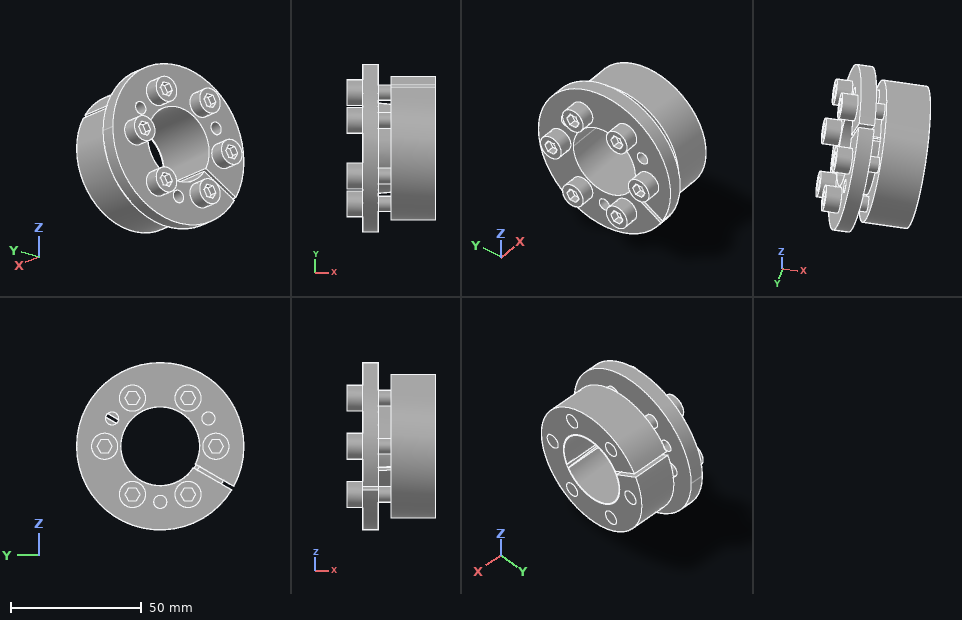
import cadquery as cq
import math


flange_diameter = 64.0
flange_thickness = 6.0
bore_diameter = 30.0
clamp_diameter = 55.0
clamp_length = 17.1
ring_gap = 4.85
cone_start_radius = 17.3
cone_half_angle = 5.0
slit_width = 1.55
flange_slit_angle = 210
clamp_slit_angle = flange_slit_angle - 180

screw_count = 6
screw_angles = [i * 360 / screw_count for i in range(screw_count)]
bolt_circle_radius = 21.25
head_diameter = 10.0
head_height = 6.0
shank_diameter = 6.0
socket_across_flats = 5.0
socket_depth = 3.0
jack_hole_diameter = 5.0
jack_hole_angles = (30, 150, 270)

flange_front = head_height
flange_back = flange_front + flange_thickness
clamp_front = flange_back + ring_gap
clamp_back = clamp_front + clamp_length


def on_bolt_circle(angle):
    """Y and Z of a point on the bolt circle."""
    turn = math.radians(angle)
    return bolt_circle_radius * math.cos(turn), bolt_circle_radius * math.sin(turn)


def cone_radius(x):
    """Radius of the mating cone at position x."""
    return cone_start_radius - (x - flange_back) * math.tan(math.radians(cone_half_angle))


def revolve_about_x(profile):
    """Revolve a closed outline of (x, radius) points about the X axis."""
    return cq.Workplane("XY").polyline(profile).close().revolve(360, (0, 0, 0), (1, 0, 0))


def cylinder(diameter, start, end, center):
    """Cylinder parallel to X, from start to end, at a (Y, Z) center."""
    return cq.Workplane("YZ", origin=(start, *center)).circle(diameter / 2).extrude(end - start)


def slit_cutter(angle):
    """Radial slab, on one side of the axis, that splits a ring along its full length."""
    slab = cq.Workplane("XY").box(clamp_back, flange_diameter, slit_width, centered=(False, False, True))
    return slab.rotate((0, 0, 0), (1, 0, 0), angle)


def make_inner_ring():
    """Slit flange with a long cone behind it, screw holes and jacking holes."""
    bore_radius = bore_diameter / 2
    flange_radius = flange_diameter / 2
    ring = revolve_about_x([
        (flange_front, bore_radius),
        (flange_front, flange_radius),
        (flange_back, flange_radius),
        (flange_back, cone_start_radius),
        (clamp_back, cone_radius(clamp_back)),
        (clamp_back, bore_radius),
    ])
    for angle in screw_angles:
        ring = ring.cut(cylinder(shank_diameter, flange_front, flange_back, on_bolt_circle(angle)))
    for angle in jack_hole_angles:
        ring = ring.cut(cylinder(jack_hole_diameter, flange_front, flange_back, on_bolt_circle(angle)))
    return ring.cut(slit_cutter(flange_slit_angle))


def make_clamp_ring():
    """Slit outer ring with a tapered bore that fits the cone, and holes for the screws."""
    clamp_radius = clamp_diameter / 2
    ring = revolve_about_x([
        (clamp_front, cone_radius(clamp_front)),
        (clamp_front, clamp_radius),
        (clamp_back, clamp_radius),
        (clamp_back, cone_radius(clamp_back)),
    ])
    for angle in screw_angles:
        ring = ring.cut(cylinder(shank_diameter, clamp_front, clamp_back, on_bolt_circle(angle)))
    return ring.cut(slit_cutter(clamp_slit_angle))


def make_screw(angle):
    """Socket head screw whose shank ends flush with the back of the clamp ring."""
    center = on_bolt_circle(angle)
    head = cylinder(head_diameter, 0, head_height, center)
    shank = cylinder(shank_diameter, head_height, clamp_back, center)
    socket_across_corners = socket_across_flats / math.cos(math.pi / 6)
    socket = (
        cq.Workplane("YZ", origin=(0, *center))
        .polygon(6, socket_across_corners)
        .extrude(socket_depth)
    )
    return head.union(shank).cut(socket)


inner_ring = make_inner_ring()
clamp_ring = make_clamp_ring()
screws = [make_screw(angle) for angle in screw_angles]

result = cq.Compound.makeCompound([
    inner_ring.val(),
    clamp_ring.val(),
    *[screw.val() for screw in screws],
])